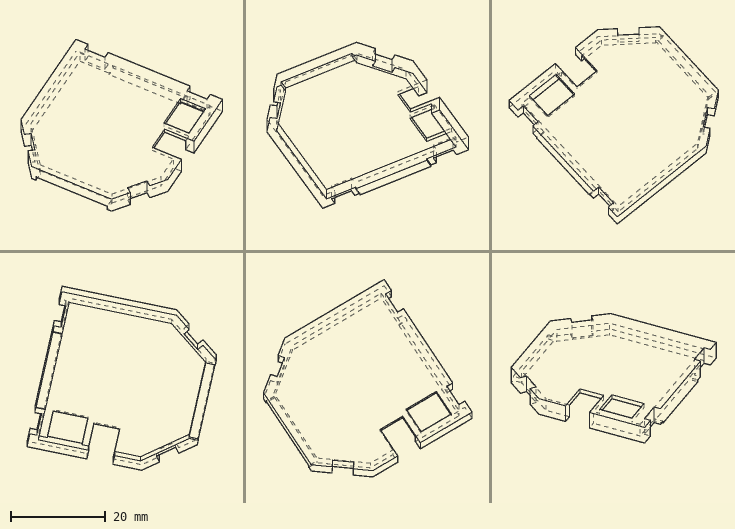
import cadquery as cq
import math

size = 35.0
total_height = 4.5
lip_height = 0.5
body_height = total_height - lip_height
top_thickness = 1.05
wall = 2.0

corner_x = 7.98
corner_y = 10.3

corner_radius = 0.1

notch_depth = 1.47
back_notch_width = 4.75
back_notch_offset = 2.95
corner_notch_width = 4.48
corner_notch_start = 4.15

window_width = 5.95
window_length = 7.5
window_from_back = 3.95

slot_depth = 7.0
slot_width = 5.55
slot_from_back = 12.9

lip_width = 17.0
opening_height = 1.05

half = size / 2


def box(x_min, x_max, y_min, y_max, z_min, z_max):
    """Axis-aligned box between the given limits."""
    sides = (x_max - x_min, y_max - y_min, z_max - z_min)
    return cq.Workplane("XY").box(*sides, centered=False).translate((x_min, y_min, z_min))


def outline():
    """Square plate outline with both front corners cut off."""
    return cq.Workplane("XY").polyline([
        (-half, half),
        (-half, -half + corner_y),
        (-half + corner_x, -half),
        (half - corner_x, -half),
        (half, -half + corner_y),
        (half, half),
    ]).close()


def back_notch():
    """Left notch in the back face."""
    x_min = -half + back_notch_offset
    return box(x_min, x_min + back_notch_width, half - notch_depth, half, 0, body_height)


def corner_notch():
    """Notch square to the left slanted face; the cutter straddles that face."""
    slant_length = math.hypot(corner_x, corner_y)
    along = corner_notch_start + corner_notch_width / 2
    x_center = -half + corner_x * along / slant_length
    y_center = -half + corner_y * (1 - along / slant_length)
    angle = -math.degrees(math.atan2(corner_y, corner_x))
    cutter = cq.Workplane("XY").rect(corner_notch_width, 2 * notch_depth).extrude(body_height)
    return cutter.rotate((0, 0, 0), (0, 0, 1), angle).translate((x_center, y_center, 0))


def notched_plate():
    """Solid plate with its four notches, the outward corners rounded."""
    sharp_plate = outline().extrude(body_height)
    for notch in (back_notch(), corner_notch()):
        sharp_plate = sharp_plate.cut(notch).cut(notch.mirror("YZ"))
    shrunk = sharp_plate.faces("<Z").wires().toPending().offset2D(-corner_radius, "intersection")
    rounded = cq.Workplane("XY").add(shrunk.vals()).toPending().offset2D(corner_radius, "arc")
    return rounded.extrude(body_height)


def cavity():
    """Hollow in the underside that leaves the rim wall and the top."""
    return outline().offset2D(-wall, "intersection").extrude(body_height - top_thickness)


def window():
    """Opening through the top, against the inside of the right wall."""
    x_max = half - wall
    y_max = half - window_from_back
    return box(x_max - window_width, x_max, y_max - window_length, y_max, 0, body_height)


def side_slot():
    """Slot through the right wall and the top."""
    y_max = half - slot_from_back
    return box(half - slot_depth, half, y_max - slot_width, y_max, 0, body_height)


def front_opening():
    """Low opening under the front wall."""
    return box(-lip_width / 2, lip_width / 2, -half, -half + wall, 0, opening_height)


def back_lip():
    """Lip that continues the back wall below the rim."""
    return box(-lip_width / 2, lip_width / 2, half - wall, half, -lip_height, 0)


result = notched_plate()
for opening in (cavity(), window(), side_slot(), front_opening()):
    result = result.cut(opening)
result = result.union(back_lip())